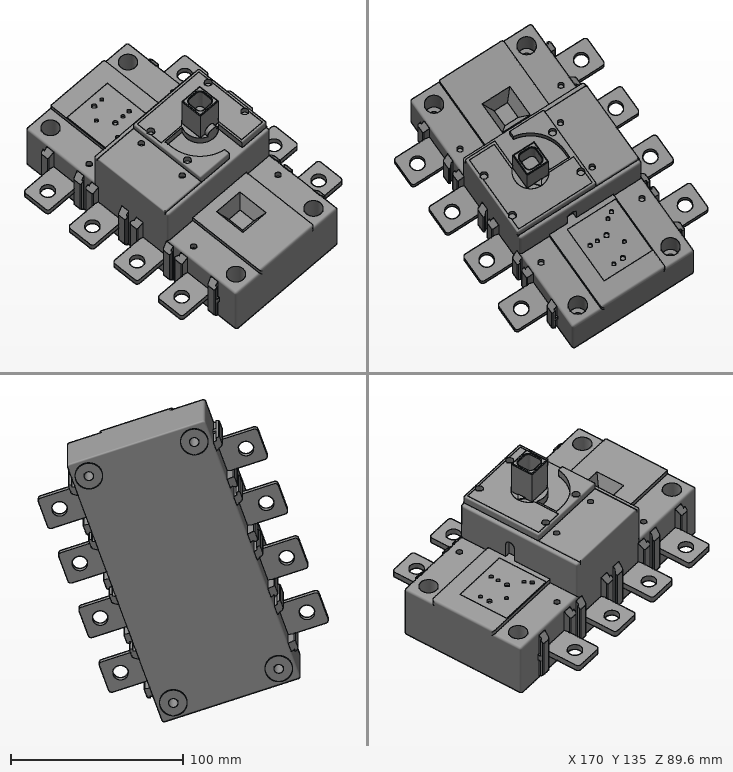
import cadquery as cq
import math

BASE_LENGTH = 170.0
BASE_WIDTH = 85.0
SHOULDER_HEIGHT = 36.2
DECK_HEIGHT = 39.0
DECK_WIDTH = 44.8
CASE_FILLET = 1.6
BASE_BOTTOM_FILLET = 1.0

TOWER_LENGTH = 60.5
TOWER_HEIGHT = 61.5
TOWER_TOP_FILLET = 1.3
TOWER_CAP_LENGTH = 54.9
TOWER_CAP_HEIGHT = 62.4
COVER_WIDTH = 55.0
COVER_HEIGHT = 66.4
COVER_FILLET = 0.9
COVER_BACK = BASE_WIDTH / 2
COVER_FRONT = COVER_BACK - COVER_WIDTH

POLE_PITCH = 36.0
FIRST_POLE_X = -53.0
POLE_COUNT = 4
POLE_XS = [FIRST_POLE_X + POLE_PITCH * pole for pole in range(POLE_COUNT)]

TERMINAL_WIDTH = 20.0
TERMINAL_THICKNESS = 4.0
TERMINAL_BOTTOM = 15.5
TERMINAL_SPAN = 135.0
TERMINAL_CORNER_RADIUS = 2.0
TERMINAL_HOLE_DIAMETER = 9.0
TERMINAL_HOLE_Y = 57.3

RIB_BOTTOM = 1.5
RIB_TOP = 34.3
RIB_PROJECTION = 4.0
RIB_OUTER = 16.2
RIB_OUTER_WIDE = 16.6
RIB_INNER_TIP = 10.2
RIB_INNER_ROOT = 9.4
RIB_TIP_CHAMFER = 0.6
RIB_LIP_THICKNESS = 2.1
RIB_UNDERCUT = 1.2
RIB_SLOPED_LIP_THICKNESS = 1.0
RIB_SLOPED_UNDERCUT = 1.7
SLOPED_RIB_POLES = POLE_XS[2:]
END_TAB_WIDTH = 2.6
END_TAB_PROJECTION = 2.8

MOUNT_X = 74.8
MOUNT_Y = 32.4
MOUNT_HOLE_DIAMETER = 5.5
MOUNT_BORE_DIAMETER = 11.2
MOUNT_BORE_DEPTH = 20.0
FOOT_DIAMETER = 16.0
FOOT_HEIGHT = 1.0

SHAFT_Y = 15.1
SHAFT_SIDE = 15.0
SHAFT_TOP = 88.6
SHAFT_TOP_CHAMFER = 0.5
SOCKET_SIDE = 11.2
SOCKET_CORNER_RADIUS = 2.9
SOCKET_DEPTH = 15.0
SOCKET_CHAMFER = 0.5
DIAL_DIAMETER = 21.6

STOP_AXIS_Z = 67.9
STOP_RADIUS = 3.75
POINTER_LENGTH = 3.5
POINTER_WIDTH = 5.6
POINTER_HEIGHT = 0.7

RECESS_LEFT = -5.3
RECESS_RADIUS = 23.7
RECESS_BACK = 21.9
RECESS_MOUTH_FRONT = 11.4
LABEL_DEPTH = 0.1
COVER_LABEL_INSET = 1.8
COVER_LABEL_NOTCH_X = -6.4
COVER_LABEL_NOTCH_Y = 23.3

RATING_LABEL_X = (-71.7, -33.4)
RATING_LABEL_Y = (-21.9, 11.9)
RATING_HOLE_DEPTH = 2.0
RATING_HOLES = [
    (-48.9, 6.4, 2.6),
    (-66.0, 1.3, 2.3),
    (-48.9, 1.3, 2.3),
    (-66.0, -5.1, 3.1),
    (-48.9, -5.1, 3.1),
    (-58.0, -11.5, 2.3),
    (-40.9, -11.5, 2.3),
    (-38.5, -15.6, 2.6),
]

SCREW_DEPTH = 4.0
COVER_SCREW_DIAMETER = 4.6
COVER_SCREWS = [(-16.5, 39.0), (13.0, 39.0), (-16.5, -9.0), (13.0, -9.0)]
CASE_SCREW_DIAMETER = 3.7
BASE_SCREWS = [(-40.9, 35.3), (43.4, 35.3), (-40.9, -35.3), (43.4, -35.3)]
TOWER_SCREWS = [(-16.5, -16.9), (16.5, -16.9)]

WINDOW_CENTRE = (47.9, 0.0)
WINDOW_SIZE = (21.2, 19.4)
WINDOW_FLOOR_SIZE = (11.1, 9.3)
WINDOW_DEPTH = 8.0

SLOT_Y = 6.6
SLOT_WIDTH = 6.2
SLOT_TOP = 51.8
SLOT_DEPTH = 3.4


def block(x_range, y_range, z_range):
    """Box spanning the given (low, high) ranges."""
    lows, highs = zip(x_range, y_range, z_range)
    sizes = [high - low for low, high in zip(lows, highs)]
    return cq.Workplane("XY").box(*sizes, centered=False).translate(lows)


def centred(size):
    return (-size / 2, size / 2)


def holes(points, diameter, top, depth):
    """Plain round holes drilled down from height `top`."""
    plane = cq.Workplane("XY").workplane(offset=top - depth)
    return plane.pushPoints(points).circle(diameter / 2).extrude(depth)


def make_base():
    """Stepped base block with rounded ends and long edges."""
    low = block(centred(BASE_LENGTH), centred(BASE_WIDTH), (0, SHOULDER_HEIGHT))
    deck = block(centred(BASE_LENGTH), centred(DECK_WIDTH), (0, DECK_HEIGHT))
    base = low.union(deck)
    end_edges = base.faces("<X or >X").edges("not <Z")
    long_edges = base.edges("|X").edges("<Y or >Y").edges(">Z")
    base = base.newObject(end_edges.vals() + long_edges.vals()).fillet(CASE_FILLET)
    return base.faces("<Z").edges().fillet(BASE_BOTTOM_FILLET)


def make_tower():
    """Central housing: rounded block, slightly raised cap and the square cover at its back."""
    tower = block(centred(TOWER_LENGTH), centred(BASE_WIDTH), (BASE_BOTTOM_FILLET, TOWER_HEIGHT))
    tower = tower.edges("|Z").fillet(CASE_FILLET).faces(">Z").edges().fillet(TOWER_TOP_FILLET)
    cap = block(
        centred(TOWER_CAP_LENGTH),
        centred(BASE_WIDTH),
        (TOWER_HEIGHT - TOWER_TOP_FILLET, TOWER_CAP_HEIGHT),
    )
    cap = cap.faces(">Z").edges().fillet(COVER_FILLET)
    cover = block(
        centred(TOWER_CAP_LENGTH),
        (COVER_FRONT, COVER_BACK),
        (TOWER_CAP_HEIGHT - COVER_FILLET, COVER_HEIGHT),
    )
    cover = cover.edges("|Z or >Z").fillet(COVER_FILLET)
    return tower.union(cap).union(cover)


def make_terminals():
    """Flat drilled bars running right through the base, one for each pole."""
    bar = (
        cq.Workplane("XY", origin=(0, 0, TERMINAL_BOTTOM))
        .rect(TERMINAL_WIDTH, TERMINAL_SPAN)
        .extrude(TERMINAL_THICKNESS)
        .edges("|Z")
        .fillet(TERMINAL_CORNER_RADIUS)
        .faces(">Z")
        .workplane()
        .pushPoints([(0, TERMINAL_HOLE_Y), (0, -TERMINAL_HOLE_Y)])
        .hole(TERMINAL_HOLE_DIAMETER)
    )
    bars = cq.Workplane("XY")
    for x in POLE_XS:
        bars = bars.union(bar.translate((x, 0, 0)))
    return bars


def make_rib(outer, lip_thickness, undercut, undercut_run):
    """Undercut rib on the +X side of a pole at X = 0, on the -Y face, with sloped ends."""
    root = -BASE_WIDTH / 2
    buried = root + RIB_PROJECTION
    tip = root - RIB_PROJECTION
    lip_back = tip + lip_thickness
    plan = [
        (RIB_INNER_ROOT, buried),
        (RIB_INNER_ROOT, root),
        (RIB_INNER_TIP, tip + RIB_TIP_CHAMFER),
        (RIB_INNER_TIP + RIB_TIP_CHAMFER, tip),
        (outer - RIB_TIP_CHAMFER, tip),
        (outer, tip + RIB_TIP_CHAMFER),
        (outer, lip_back),
        (outer - undercut, lip_back + undercut_run),
        (outer - undercut, buried),
    ]
    profile = [
        (buried, RIB_BOTTOM),
        (root, RIB_BOTTOM),
        (tip, RIB_BOTTOM + RIB_PROJECTION),
        (tip, RIB_TOP - RIB_PROJECTION),
        (root, RIB_TOP),
        (buried, RIB_TOP),
    ]
    column = cq.Workplane("XY").polyline(plan).close().extrude(RIB_TOP)
    envelope = cq.Workplane("YZ").polyline(profile).close().extrude(outer)
    return column.intersect(envelope)


def make_ribs():
    """A pair of ribs beside each terminal, on both long sides."""
    square_rib = make_rib(RIB_OUTER, RIB_LIP_THICKNESS, RIB_UNDERCUT, 0)
    sloped_rib = make_rib(
        RIB_OUTER_WIDE, RIB_SLOPED_LIP_THICKNESS, RIB_SLOPED_UNDERCUT, RIB_SLOPED_UNDERCUT
    )
    ribs = cq.Workplane("XY")
    for x in POLE_XS:
        left_rib = sloped_rib if x in SLOPED_RIB_POLES else square_rib
        pair = square_rib.union(left_rib.mirror("YZ"))
        ribs = ribs.union(pair.union(pair.mirror("XZ")).translate((x, 0, 0)))
    return ribs


def make_end_tabs():
    """Small tabs at terminal height behind the lips of the outermost ribs."""
    reach = BASE_WIDTH / 2 + END_TAB_PROJECTION
    z_range = (TERMINAL_BOTTOM, TERMINAL_BOTTOM + TERMINAL_THICKNESS)
    first_x = POLE_XS[0] - RIB_OUTER
    last_x = POLE_XS[-1] + RIB_OUTER
    first = block((first_x, first_x + END_TAB_WIDTH), (-reach, reach), z_range)
    last = block((last_x - END_TAB_WIDTH, last_x), (-reach, reach), z_range)
    return first.union(last)


def mount_points():
    return [(x, y) for x in (-MOUNT_X, MOUNT_X) for y in (-MOUNT_Y, MOUNT_Y)]


def make_feet():
    return holes(mount_points(), FOOT_DIAMETER, 0, FOOT_HEIGHT)


def cut_mounting_holes(body):
    through = SHOULDER_HEIGHT + FOOT_HEIGHT
    body = body.cut(holes(mount_points(), MOUNT_HOLE_DIAMETER, SHOULDER_HEIGHT, through))
    return body.cut(holes(mount_points(), MOUNT_BORE_DIAMETER, SHOULDER_HEIGHT, MOUNT_BORE_DEPTH))


def cut_cover_recess(body):
    """Quarter-turn recess, open towards +X, with its floor level with the tower top."""
    arc_front = SHAFT_Y - RECESS_RADIUS
    mouth_drop = SHAFT_Y - RECESS_MOUTH_FRONT
    arc_end_x = math.sqrt(RECESS_RADIUS**2 - mouth_drop**2)
    diagonal = RECESS_RADIUS * math.cos(math.radians(45))
    arc_mid = (diagonal, SHAFT_Y - diagonal)
    mouth_x = TOWER_CAP_LENGTH / 2
    recess = (
        cq.Workplane("XY", origin=(0, 0, TOWER_HEIGHT))
        .moveTo(RECESS_LEFT, RECESS_BACK)
        .lineTo(RECESS_LEFT, arc_front)
        .lineTo(0, arc_front)
        .threePointArc(arc_mid, (arc_end_x, RECESS_MOUTH_FRONT))
        .lineTo(mouth_x, RECESS_MOUTH_FRONT)
        .lineTo(mouth_x, RECESS_BACK)
        .close()
        .extrude(COVER_HEIGHT - TOWER_HEIGHT)
    )
    return body.cut(recess)


def cut_labels(body):
    """Shallow label beds: an L on the cover and a rectangle on the base deck."""
    half_length = TOWER_CAP_LENGTH / 2 - COVER_LABEL_INSET
    cover_z = (COVER_HEIGHT - LABEL_DEPTH, COVER_HEIGHT)
    cover_y = (COVER_FRONT + COVER_LABEL_INSET, COVER_BACK - COVER_LABEL_INSET)
    left_leg = block((-half_length, COVER_LABEL_NOTCH_X), cover_y, cover_z)
    back_leg = block((-half_length, half_length), (COVER_LABEL_NOTCH_Y, cover_y[1]), cover_z)
    rating = block(RATING_LABEL_X, RATING_LABEL_Y, (DECK_HEIGHT - LABEL_DEPTH, DECK_HEIGHT))
    return body.cut(left_leg).cut(back_leg).cut(rating)


def cut_small_holes(body):
    body = body.cut(holes(COVER_SCREWS, COVER_SCREW_DIAMETER, COVER_HEIGHT, SCREW_DEPTH))
    body = body.cut(holes(TOWER_SCREWS, CASE_SCREW_DIAMETER, TOWER_CAP_HEIGHT, SCREW_DEPTH))
    body = body.cut(holes(BASE_SCREWS, CASE_SCREW_DIAMETER, SHOULDER_HEIGHT, SCREW_DEPTH))
    for x, y, diameter in RATING_HOLES:
        body = body.cut(holes([(x, y)], diameter, DECK_HEIGHT, RATING_HOLE_DEPTH))
    return body


def cut_window(body):
    """Rectangular funnel in the base deck."""
    funnel = (
        cq.Workplane("XY", origin=(*WINDOW_CENTRE, DECK_HEIGHT))
        .rect(*WINDOW_SIZE)
        .workplane(offset=-WINDOW_DEPTH)
        .rect(*WINDOW_FLOOR_SIZE)
        .loft(ruled=True)
    )
    return body.cut(funnel)


def cut_tower_slot(body):
    """Round-topped slot in the -X face of the tower, rising from the base deck."""
    radius = SLOT_WIDTH / 2
    slot = (
        cq.Workplane("YZ", origin=(-TOWER_LENGTH / 2, SLOT_Y, 0))
        .moveTo(-radius, DECK_HEIGHT)
        .lineTo(-radius, SLOT_TOP - radius)
        .threePointArc((0, SLOT_TOP), (radius, SLOT_TOP - radius))
        .lineTo(radius, DECK_HEIGHT)
        .close()
        .extrude(SLOT_DEPTH)
    )
    return body.cut(slot)


def make_dial():
    """Round dial flush with the cover, with a raised pointer and a rounded stop."""
    radius = DIAL_DIAMETER / 2
    height = SHAFT_TOP - TOWER_HEIGHT
    full_cylinder = cq.Workplane("XY", origin=(0, 0, TOWER_HEIGHT)).circle(radius).extrude(height)
    dial = cq.Workplane("XY", origin=(0, 0, TOWER_HEIGHT)).circle(radius)
    dial = dial.extrude(COVER_HEIGHT - TOWER_HEIGHT)
    stop = (
        cq.Workplane("YZ")
        .moveTo(-STOP_RADIUS, TOWER_HEIGHT)
        .lineTo(-STOP_RADIUS, STOP_AXIS_Z)
        .threePointArc((0, STOP_AXIS_Z + STOP_RADIUS), (STOP_RADIUS, STOP_AXIS_Z))
        .lineTo(STOP_RADIUS, TOWER_HEIGHT)
        .close()
        .extrude(radius)
        .intersect(full_cylinder)
    )
    pointer_base = -SHAFT_SIDE / 2
    pointer = (
        cq.Workplane("XY", origin=(0, 0, TOWER_HEIGHT))
        .polyline([
            (pointer_base, POINTER_WIDTH / 2),
            (pointer_base - POINTER_LENGTH, 0),
            (pointer_base, -POINTER_WIDTH / 2),
        ])
        .close()
        .extrude(COVER_HEIGHT + POINTER_HEIGHT - TOWER_HEIGHT)
    )
    return dial.union(stop).union(pointer).translate((0, SHAFT_Y, 0))


def make_shaft():
    """Square drive shaft with a rounded-square socket in its top."""
    shaft = cq.Workplane("XY", origin=(0, SHAFT_Y, TOWER_HEIGHT)).rect(SHAFT_SIDE, SHAFT_SIDE)
    shaft = shaft.extrude(SHAFT_TOP - TOWER_HEIGHT).faces(">Z").edges().chamfer(SHAFT_TOP_CHAMFER)
    socket = cq.Workplane("XY", origin=(0, SHAFT_Y, SHAFT_TOP - SOCKET_DEPTH))
    socket = socket.rect(SOCKET_SIDE, SOCKET_SIDE).extrude(SOCKET_DEPTH)
    socket = socket.edges("|Z").fillet(SOCKET_CORNER_RADIUS)
    shaft = shaft.cut(socket)
    rim = shaft.faces(">Z").val().innerWires()[0]
    return shaft.newObject(rim.Edges()).chamfer(SOCKET_CHAMFER)


body = make_base().union(make_tower()).union(make_feet())
body = body.union(make_terminals()).union(make_ribs()).union(make_end_tabs())
body = cut_cover_recess(body)
body = cut_labels(body)
body = cut_mounting_holes(body)
body = cut_small_holes(body)
body = cut_window(body)
body = cut_tower_slot(body)
result = body.union(make_dial()).union(make_shaft())